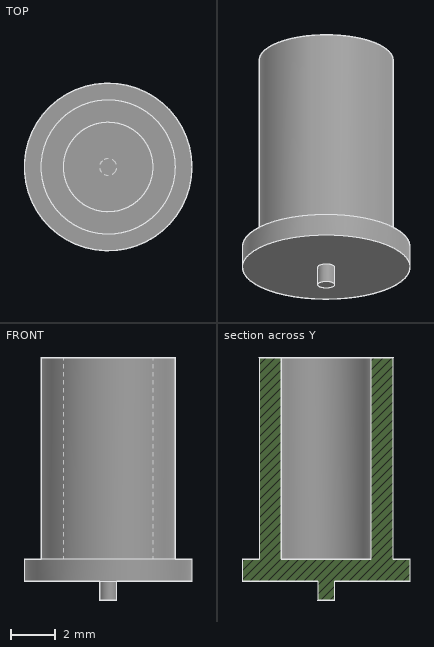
import cadquery as cq

total_height = 10.85
flange_diameter = 7.5
flange_thickness = 1.0
sleeve_diameter = 6.0
bore_diameter = 4.0
pin_diameter = 0.76
pin_length = 0.85

sleeve_height = total_height - flange_thickness - pin_length

flange = cq.Workplane("XY").circle(flange_diameter / 2).extrude(flange_thickness)

sleeve = (
    cq.Workplane("XY")
    .workplane(offset=flange_thickness)
    .circle(sleeve_diameter / 2)
    .circle(bore_diameter / 2)
    .extrude(sleeve_height)
)

pin = cq.Workplane("XY").circle(pin_diameter / 2).extrude(-pin_length)

result = flange.union(sleeve).union(pin)